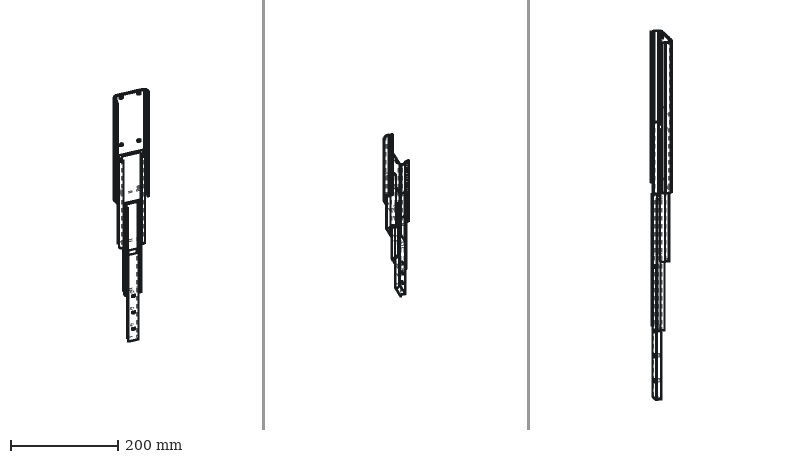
import cadquery as cq
import math


TOTAL_LENGTH = 720.0
OUTER_LENGTH = 300.0
MOVING_LENGTH = 262.0
STAGE_COUNT = 4
STAGE_TRAVEL = (TOTAL_LENGTH - OUTER_LENGTH) / (STAGE_COUNT - 1)

OUTER_WIDTH = 68.5
OUTER_HALF_WIDTH = OUTER_WIDTH / 2
BULGE_HEIGHT = 3.0
OUTER_SIDE_HALF_WIDTH = OUTER_HALF_WIDTH - BULGE_HEIGHT
OUTER_FLANGE = 2.0
OUTER_INSIDE_HALF_WIDTH = OUTER_SIDE_HALF_WIDTH - OUTER_FLANGE
OUTER_FRONT = 21.0
OUTER_WALL = 3.0
BACK_HALF_WIDTH = 27.0
SHOULDER_ANGLE = 25.0
SHOULDER_DEPTH = (OUTER_SIDE_HALF_WIDTH - BACK_HALF_WIDTH) * math.tan(math.radians(SHOULDER_ANGLE))
BULGE_BASE_HALF = 6.0
BULGE_CROWN_HALF = 4.0
BULGE_CROWN_RISE = 1.0

SECOND_HALF_WIDTH = 25.0
SECOND_BACK = 4.0
SECOND_FRONT = 21.0
SECOND_WALL = 4.0
SECOND_FLANGE = 7.0
SECOND_LIP_RADIUS = 5.0

THIRD_HALF_WIDTH = 16.5
THIRD_BACK = 11.0
THIRD_FRONT = 24.5
THIRD_WALL = 3.5
THIRD_FLANGE = 6.0
THIRD_LIP_TAPER = 1.1
THIRD_LIP_LENGTH = 3.5

INNER_HALF_WIDTH = 10.0
INNER_BACK = 15.0
INNER_FRONT = 25.0

RACE_1_X = 10.0
RACE_2_X = 15.0
RACE_3_X = 19.5
RACE_RADIUS = 4.0
RACE_DEPTH = 2.0

HOLE_DIAMETER = 6.1
OUTER_HOLE_SPACING_Y = 34.5
OUTER_HOLE_SPACING_Z = 142.5
INNER_HOLE_PITCH = 50.0
INNER_HOLE_END = 35.0
HOLES_PER_ROW = 3


def stage_bottom(stage):
    """Z of the lower end of a rail; stage 0 is the outer rail."""
    return (STAGE_COUNT - 1 - stage) * STAGE_TRAVEL


def extrude_rail(section, stage, length):
    return section.extrude(length).translate((0, 0, stage_bottom(stage)))


def cut_races(rail, race_x, face_half_width, inward):
    """Cut a ball race along both side faces; inward is 1 to cut towards the middle, -1 away from it."""
    center_y = face_half_width + inward * (RACE_RADIUS - RACE_DEPTH)
    races = (
        cq.Workplane("XY")
        .pushPoints([(race_x, center_y), (race_x, -center_y)])
        .circle(RACE_RADIUS)
        .extrude(TOTAL_LENGTH)
    )
    return rail.cut(races)


def cut_holes(rail, points):
    """Cut holes along X at (Y, Z) points."""
    holes = cq.Workplane("YZ").pushPoints(points).circle(HOLE_DIAMETER / 2).extrude(INNER_FRONT)
    return rail.cut(holes)


def make_outer_rail():
    crown_edge = OUTER_HALF_WIDTH - BULGE_CROWN_RISE
    section = (
        cq.Workplane("XY")
        .moveTo(0, 0)
        .lineTo(0, BACK_HALF_WIDTH)
        .lineTo(SHOULDER_DEPTH, OUTER_SIDE_HALF_WIDTH)
        .lineTo(RACE_1_X - BULGE_BASE_HALF, OUTER_SIDE_HALF_WIDTH)
        .lineTo(RACE_1_X - BULGE_CROWN_HALF, crown_edge)
        .threePointArc((RACE_1_X, OUTER_HALF_WIDTH), (RACE_1_X + BULGE_CROWN_HALF, crown_edge))
        .lineTo(RACE_1_X + BULGE_BASE_HALF, OUTER_SIDE_HALF_WIDTH)
        .lineTo(OUTER_FRONT, OUTER_SIDE_HALF_WIDTH)
        .lineTo(OUTER_FRONT, OUTER_INSIDE_HALF_WIDTH)
        .lineTo(OUTER_WALL + SHOULDER_DEPTH, OUTER_INSIDE_HALF_WIDTH)
        .lineTo(OUTER_WALL, BACK_HALF_WIDTH)
        .lineTo(OUTER_WALL, 0)
        .mirrorX()
    )
    rail = extrude_rail(section, 0, OUTER_LENGTH)
    rail = cut_races(rail, RACE_1_X, OUTER_INSIDE_HALF_WIDTH, -1)
    middle_z = stage_bottom(0) + OUTER_LENGTH / 2
    points = [
        (side * OUTER_HOLE_SPACING_Y / 2, middle_z + row * OUTER_HOLE_SPACING_Z)
        for side in (-1, 1)
        for row in (-1, 0, 1)
    ]
    return cut_holes(rail, points)


def make_second_rail():
    inside_half_width = SECOND_HALF_WIDTH - SECOND_FLANGE
    section = (
        cq.Workplane("XY")
        .moveTo(SECOND_BACK, 0)
        .lineTo(SECOND_BACK, SECOND_HALF_WIDTH)
        .lineTo(SECOND_FRONT - SECOND_LIP_RADIUS, SECOND_HALF_WIDTH)
        .radiusArc((SECOND_FRONT, SECOND_HALF_WIDTH - SECOND_LIP_RADIUS), SECOND_LIP_RADIUS)
        .lineTo(SECOND_FRONT, inside_half_width)
        .lineTo(SECOND_BACK + SECOND_WALL, inside_half_width)
        .lineTo(SECOND_BACK + SECOND_WALL, 0)
        .mirrorX()
    )
    rail = extrude_rail(section, 1, MOVING_LENGTH)
    rail = cut_races(rail, RACE_1_X, SECOND_HALF_WIDTH, 1)
    return cut_races(rail, RACE_2_X, inside_half_width, -1)


def make_third_rail():
    inside_half_width = THIRD_HALF_WIDTH - THIRD_FLANGE
    section = (
        cq.Workplane("XY")
        .moveTo(THIRD_BACK, 0)
        .lineTo(THIRD_BACK, THIRD_HALF_WIDTH)
        .lineTo(THIRD_FRONT - THIRD_LIP_LENGTH, THIRD_HALF_WIDTH)
        .lineTo(THIRD_FRONT, THIRD_HALF_WIDTH - THIRD_LIP_TAPER)
        .lineTo(THIRD_FRONT, inside_half_width)
        .lineTo(THIRD_BACK + THIRD_WALL, inside_half_width)
        .lineTo(THIRD_BACK + THIRD_WALL, 0)
        .mirrorX()
    )
    rail = extrude_rail(section, 2, MOVING_LENGTH)
    rail = cut_races(rail, RACE_2_X, THIRD_HALF_WIDTH, 1)
    return cut_races(rail, RACE_3_X, inside_half_width, -1)


def make_inner_bar():
    section = (
        cq.Workplane("XY")
        .moveTo((INNER_BACK + INNER_FRONT) / 2, 0)
        .rect(INNER_FRONT - INNER_BACK, 2 * INNER_HALF_WIDTH)
    )
    bar = extrude_rail(section, 3, MOVING_LENGTH)
    bar = cut_races(bar, RACE_3_X, INNER_HALF_WIDTH, 1)
    points = [(0, stage_bottom(3) + INNER_HOLE_END + i * INNER_HOLE_PITCH) for i in range(HOLES_PER_ROW)]
    return cut_holes(bar, points)


outer_rail = make_outer_rail()
second_rail = make_second_rail()
third_rail = make_third_rail()
inner_bar = make_inner_bar()

result = cq.Compound.makeCompound([
    outer_rail.solids().val(),
    second_rail.solids().val(),
    third_rail.solids().val(),
    inner_bar.solids().val(),
])